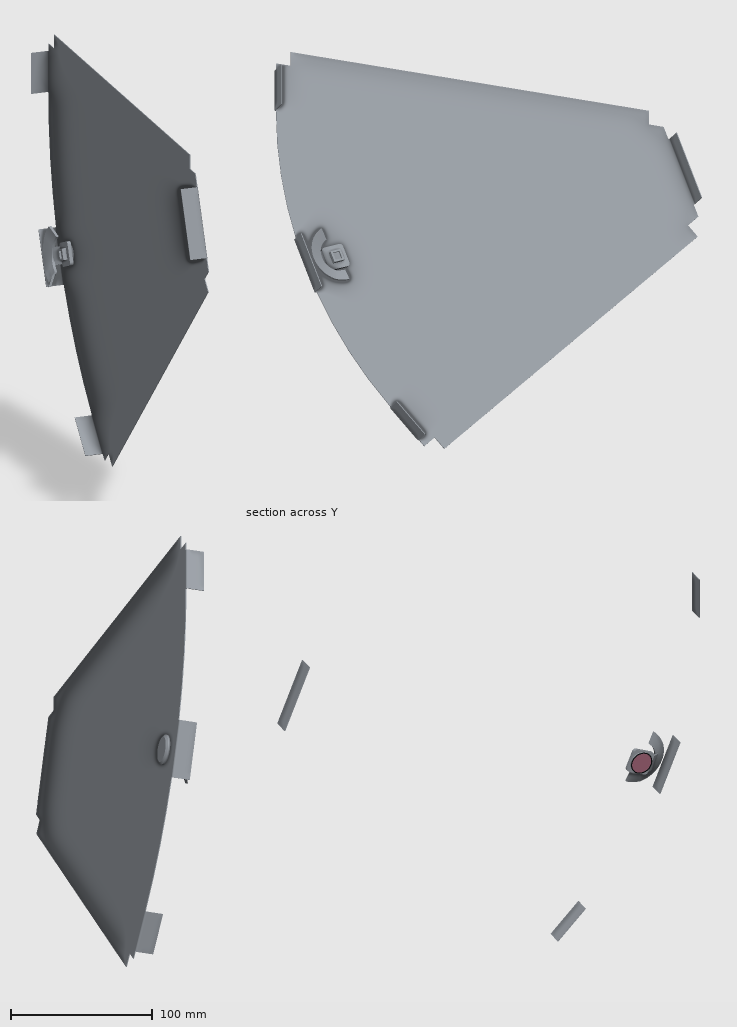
import cadquery as cq
import math


sector_angle = 45.0
mid_angle = sector_angle / 2
thickness = 0.6
outer_distance = 387.47
inner_radius = 90.9
corner_run = 37.2
tab_height = 10.5
tab_inset = 11.2

flange_depth = 13.15
bend_angle = 90.0
bend_radius = 1.35
flange_overlap = 2.0
end_flange_length = 30.5
end_flange_center = 21.0
mid_flange_length = 41.0
inner_flange_length = 50.5

latch_distance = 371.8
head_diameter = 21.5
head_height = 2.9
head_chamfer_height = 1.3
head_chamfer_width = 1.7
neck_diameter = 16.0
neck_end = 1.95
drive_size = 8.3
drive_end = 7.6
socket_size = 5.5
socket_depth = 1.5

cam_size = 17.2
cam_corner_radius = 2.2
cam_thickness = 2.6
arm_inner_radius = 13.5
arm_outer_radius = 22.0
arm_thickness = 1.9
arm_dish = 3.7
arm_start_angle = 129.0
lip_start_angle = 259.0
arm_end_angle = 282.0
arm_start_front = 11.4
lip_start_front = 14.85
arm_end_front = 18.46
arm_steps = 8
lip_steps = 3
riser_top = 8.9
riser_top_inner = 13.6
riser_top_outer = 15.6


def direction(angle):
    """Unit (x, z) direction at an angle from +X toward +Z."""
    a = math.radians(angle)
    return math.cos(a), math.sin(a)


def side_point(angle, along, beyond=0.0):
    """Point along the ray at 180 + angle, then beyond it square to the ray on its upper side."""
    ray_x, ray_z = direction(180 + angle)
    return along * ray_x + beyond * ray_z, along * ray_z - beyond * ray_x


arc_center_distance = corner_run / math.sin(math.radians(mid_angle))
arc_radius = outer_distance - corner_run / math.tan(math.radians(mid_angle))
mid_distance = arc_center_distance + arc_radius
inner_distance = inner_radius * math.cos(math.radians(mid_angle))


def tab_points(angle, side):
    """Corners of an edge tab, from its inner end to its outer end."""
    near = inner_radius + tab_inset
    far = outer_distance - tab_inset
    beyond = side * tab_height
    return [
        side_point(angle, near),
        side_point(angle, near, beyond),
        side_point(angle, far, beyond),
        side_point(angle, far),
    ]


def panel_blank():
    upper = [side_point(0, inner_radius), *tab_points(0, 1), side_point(0, outer_distance)]
    lower = [
        side_point(sector_angle, outer_distance),
        *reversed(tab_points(sector_angle, -1)),
        side_point(sector_angle, inner_radius),
    ]
    return (
        cq.Workplane("XZ")
        .polyline(upper)
        .lineTo(*side_point(0, outer_distance, -corner_run))
        .threePointArc(
            side_point(mid_angle, mid_distance),
            side_point(sector_angle, outer_distance, corner_run),
        )
        .polyline(lower, includeCurrent=True)
        .close()
        .extrude(thickness)
    )


def bent_flange(edge_center, outward_angle, length):
    """Flange folded forward along a panel edge that faces the outward angle."""
    out_x, out_z = direction(outward_angle)
    plane = cq.Plane(
        origin=(edge_center[0], 0, edge_center[1]),
        xDir=(out_x, 0, out_z),
        normal=(out_z, 0, -out_x),
    )
    inner_bend = bend_radius - thickness
    diagonal = math.cos(math.radians(bend_angle / 2))
    return (
        cq.Workplane(plane)
        .moveTo(-flange_overlap, 0)
        .lineTo(0, 0)
        .threePointArc(
            (bend_radius * diagonal, bend_radius * (1 - diagonal)),
            (bend_radius, bend_radius),
        )
        .lineTo(bend_radius, flange_depth)
        .lineTo(inner_bend, flange_depth)
        .lineTo(inner_bend, bend_radius)
        .threePointArc(
            (inner_bend * diagonal, bend_radius - inner_bend * diagonal),
            (0, thickness),
        )
        .lineTo(-flange_overlap, thickness)
        .close()
        .extrude(length / 2, both=True)
    )


flanges = [
    (side_point(0, outer_distance, -end_flange_center), 180, end_flange_length),
    (side_point(mid_angle, mid_distance), 180 + mid_angle, mid_flange_length),
    (side_point(sector_angle, outer_distance, end_flange_center), 180 + sector_angle, end_flange_length),
    (side_point(mid_angle, inner_distance), mid_angle, inner_flange_length),
]

latch_x, latch_z = side_point(mid_angle, latch_distance)

panel = panel_blank()
for edge_center, outward_angle, length in flanges:
    panel = panel.union(bent_flange(edge_center, outward_angle, length))
neck_hole = (
    cq.Workplane("XZ")
    .center(latch_x, latch_z)
    .circle(neck_diameter / 2)
    .extrude(thickness)
)
panel = panel.cut(neck_hole)


def latch_plane(forward):
    """Plane across the latch axis, its x axis pointing outward along the sector bisector."""
    out_x, out_z = direction(180 + mid_angle)
    return cq.Workplane(
        cq.Plane(origin=(latch_x, -forward, latch_z), xDir=(out_x, 0, out_z), normal=(0, -1, 0))
    )


def latch_spindle():
    """Round head behind the panel, neck through it and square drive in front."""
    head = (
        latch_plane(-head_height)
        .circle(head_diameter / 2)
        .extrude(head_height)
        .faces(">Y")
        .chamfer(head_chamfer_height, head_chamfer_width)
    )
    neck = latch_plane(0).circle(neck_diameter / 2).extrude(neck_end)
    drive = latch_plane(neck_end).rect(drive_size, drive_size).extrude(drive_end - neck_end)
    socket = (
        latch_plane(drive_end - socket_depth)
        .rect(socket_size, socket_size)
        .extrude(socket_depth)
    )
    return head.union(neck).union(drive).cut(socket)


def arm_section(angle, front):
    """Arm section on the radius at an angle about the latch axis, sloping forward outward."""
    x, z = direction(angle)
    back = front - arm_thickness
    corners = [
        (arm_inner_radius, back - arm_dish),
        (arm_outer_radius, back),
        (arm_outer_radius, front),
        (arm_inner_radius, front - arm_dish),
    ]
    points = [cq.Vector(latch_x + r * x, -forward, latch_z + r * z) for r, forward in corners]
    return cq.Wire.makePolygon(points, close=True)


def arm_ramp(start_angle, end_angle, start_front, end_front, steps):
    """Stretch of the arm that curves about the latch axis and climbs evenly forward."""
    sections = []
    for i in range(steps + 1):
        share = i / steps
        angle = start_angle + share * (end_angle - start_angle)
        front = start_front + share * (end_front - start_front)
        sections.append(arm_section(angle, front))
    return cq.Workplane(cq.Solid.makeLoft(sections))


def cam_riser():
    """Sloping web from the outward edge of the square plate up to the arm."""
    out_x, out_z = direction(180 + mid_angle)
    plane = cq.Plane(
        origin=(latch_x, 0, latch_z), xDir=(out_x, 0, out_z), normal=(out_z, 0, -out_x)
    )
    plate_edge = cam_size / 2
    plate_inset = plate_edge - cam_corner_radius
    plate_front = neck_end + cam_thickness
    return (
        cq.Workplane(plane)
        .polyline([
            (plate_inset, neck_end),
            (plate_edge, neck_end),
            (riser_top_outer, riser_top),
            (riser_top_inner, riser_top),
            (plate_edge, plate_front),
            (plate_inset, plate_front),
        ])
        .close()
        .extrude(plate_inset, both=True)
    )


def latch_cam():
    """Square plate on the drive, with a riser carrying a curved arm that ends in a steep lip."""
    square = (
        latch_plane(neck_end)
        .rect(cam_size, cam_size)
        .extrude(cam_thickness)
        .edges("|Y")
        .fillet(cam_corner_radius)
    )
    drive_hole = latch_plane(neck_end).rect(drive_size, drive_size).extrude(cam_thickness)
    arm = arm_ramp(arm_start_angle, lip_start_angle, arm_start_front, lip_start_front, arm_steps)
    lip = arm_ramp(lip_start_angle, arm_end_angle, lip_start_front, arm_end_front, lip_steps)
    return square.union(cam_riser()).cut(drive_hole).union(arm).union(lip)


spindle = latch_spindle()
cam = latch_cam()

result = cq.Compound.makeCompound([*panel.solids().vals(), *spindle.solids().vals(), *cam.solids().vals()])